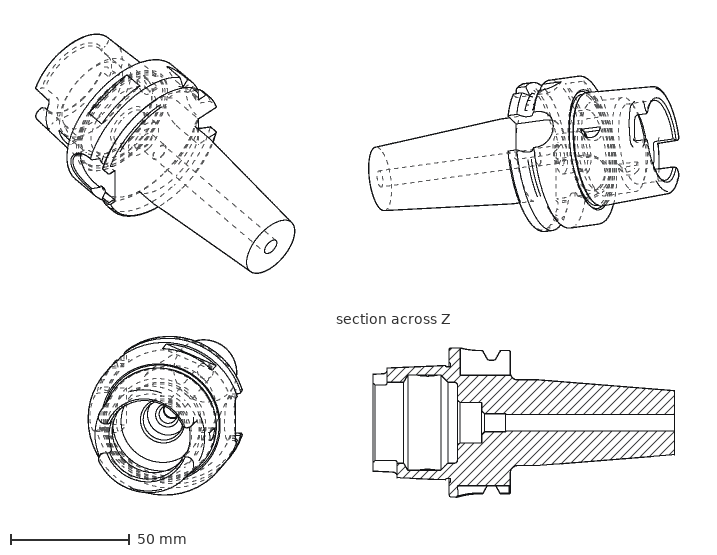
import cadquery as cq
import math


LENGTH = 127.0
FLANGE_START = 32.0
FLANGE_END = 57.9
NECK_END = 69.7

FLANGE_DIAMETER = 63.0
TAPER_MOUTH_DIAMETER = 45.6
TAPER_END_DIAMETER = 48.3
NECK_DIAMETER = 36.2
TIP_DIAMETER = 27.0

RELIEF_START = 30.5
RELIEF_DIAMETER = 47.2
RELIEF_FACE_DIAMETER = 51.0
RELIEF_FACE_DEPTH = 0.6

MOUTH_ROUND = 0.9
FLANGE_REAR_ROUND = 1.0
FLANGE_FRONT_ROUND = 0.8
NECK_ROUND = 2.9

GROOVE_CENTRE = 49.9
GROOVE_FLOOR_DIAMETER = 55.1
GROOVE_FLAT_WIDTH = 1.5
GROOVE_FLANK_ANGLE = 30.0
GROOVE_FLOOR_ROUND = 1.3
GROOVE_REAR_CHAMFER = 0.4

CAVITY_DIAMETER = 34.0
CAVITY_MOUTH_DIAMETER = 36.0
UNDERCUT_DIAMETER = 40.0
UNDERCUT_START = 13.0
UNDERCUT_END = 28.6
UNDERCUT_ANGLE = 60.0
CAVITY_DEPTH = 35.5
CAVITY_FLOOR_ROUND = 1.3

COUNTERBORE_MOUTH_DIAMETER = 19.0
COUNTERBORE_DIAMETER = 17.0
COUNTERBORE_DEPTH = 10.2
BORE_MOUTH_DIAMETER = 10.0
BORE_STEP_DIAMETER = 7.5
BORE_STEP_DEPTH = 10.2
BORE_DIAMETER = 6.9

KEY_WIDTH = 12.6
KEY_DEPTH_FRONT = 10.0
KEY_DEPTH_BACK = 5.8
KEY_LIP_ROUND = 3.0
KEY_CORNER_ROUND = 1.4

CROSS_HOLE_X = 23.0
CROSS_HOLE_DIAMETER = 8.4

SLOT_CENTRE_X = 44.8
FRONT_SLOT_RADIUS = 9.0
FRONT_SLOT_FLOOR = 26.5
FRONT_SLOT_CHAMFER = 0.6
BACK_SLOT_RADIUS = 8.0
BACK_SLOT_FLOOR = 20.1

NOTCH_SIDE = 20.0

CHIP_START = 35.2
CHIP_END = 43.4
CHIP_DISTANCE = 29.3
CHIP_TILT = 21.5

FLANGE_RADIUS = FLANGE_DIAMETER / 2

ROUND_GAP = 1 - math.sqrt(0.5)

OVERSHOOT = 1.3
PICK_MARGIN = 0.1


def turned(profile):
    """Revolve a closed profile, drawn as X against radius, about the X axis."""
    return profile.close().revolve(360, (0, 0, 0), (1, 0, 0))


def outer_body():
    neck_radius = NECK_DIAMETER / 2
    profile = (
        cq.Workplane("XY")
        .lineTo(0, TAPER_MOUTH_DIAMETER / 2)
        .lineTo(RELIEF_START, TAPER_END_DIAMETER / 2)
        .lineTo(RELIEF_START + (TAPER_END_DIAMETER - RELIEF_DIAMETER) / 2, RELIEF_DIAMETER / 2)
        .lineTo(FLANGE_START + RELIEF_FACE_DEPTH, RELIEF_DIAMETER / 2)
        .lineTo(FLANGE_START + RELIEF_FACE_DEPTH, RELIEF_FACE_DIAMETER / 2 - RELIEF_FACE_DEPTH)
        .lineTo(FLANGE_START, RELIEF_FACE_DIAMETER / 2)
        .lineTo(FLANGE_START, FLANGE_RADIUS - FLANGE_REAR_ROUND)
        .threePointArc(
            (
                FLANGE_START + FLANGE_REAR_ROUND * ROUND_GAP,
                FLANGE_RADIUS - FLANGE_REAR_ROUND * ROUND_GAP,
            ),
            (FLANGE_START + FLANGE_REAR_ROUND, FLANGE_RADIUS),
        )
        .lineTo(FLANGE_END - FLANGE_FRONT_ROUND, FLANGE_RADIUS)
        .threePointArc(
            (
                FLANGE_END - FLANGE_FRONT_ROUND * ROUND_GAP,
                FLANGE_RADIUS - FLANGE_FRONT_ROUND * ROUND_GAP,
            ),
            (FLANGE_END, FLANGE_RADIUS - FLANGE_FRONT_ROUND),
        )
        .lineTo(FLANGE_END, neck_radius + NECK_ROUND)
        .threePointArc(
            (FLANGE_END + NECK_ROUND * ROUND_GAP, neck_radius + NECK_ROUND * ROUND_GAP),
            (FLANGE_END + NECK_ROUND, neck_radius),
        )
        .lineTo(NECK_END, neck_radius)
        .lineTo(LENGTH, TIP_DIAMETER / 2)
        .lineTo(LENGTH, 0)
    )
    return turned(profile)


def v_groove():
    floor_radius = GROOVE_FLOOR_DIAMETER / 2
    slope = math.tan(math.radians(GROOVE_FLANK_ANGLE))
    turn = math.radians(90 - GROOVE_FLANK_ANGLE)
    half_flat = GROOVE_FLAT_WIDTH / 2

    def round_point(angle):
        """Offset from the groove centre, and radius, after turning this far up the floor round."""
        return (
            half_flat + GROOVE_FLOOR_ROUND * math.sin(angle),
            floor_radius + GROOVE_FLOOR_ROUND * (1 - math.cos(angle)),
        )

    middle = round_point(turn / 2)
    flank = round_point(turn)
    top_radius = FLANGE_RADIUS + OVERSHOOT
    chamfer_radius = FLANGE_RADIUS - GROOVE_REAR_CHAMFER

    def flank_offset(radius):
        return flank[0] + (radius - flank[1]) * slope

    rear_chamfer_x = GROOVE_CENTRE - flank_offset(chamfer_radius)
    profile = (
        cq.Workplane("XY")
        .moveTo(rear_chamfer_x - (top_radius - chamfer_radius), top_radius)
        .lineTo(rear_chamfer_x, chamfer_radius)
        .lineTo(GROOVE_CENTRE - flank[0], flank[1])
        .threePointArc(
            (GROOVE_CENTRE - middle[0], middle[1]), (GROOVE_CENTRE - half_flat, floor_radius)
        )
        .lineTo(GROOVE_CENTRE + half_flat, floor_radius)
        .threePointArc(
            (GROOVE_CENTRE + middle[0], middle[1]), (GROOVE_CENTRE + flank[0], flank[1])
        )
        .lineTo(GROOVE_CENTRE + flank_offset(top_radius), top_radius)
    )
    return turned(profile)


def cavity_and_bore():
    cavity_radius = CAVITY_DIAMETER / 2
    mouth_radius = CAVITY_MOUTH_DIAMETER / 2
    undercut_radius = UNDERCUT_DIAMETER / 2
    undercut_rise = undercut_radius - cavity_radius
    undercut_run = undercut_rise / math.tan(math.radians(UNDERCUT_ANGLE))
    counterbore_radius = COUNTERBORE_DIAMETER / 2
    counterbore_chamfer = COUNTERBORE_MOUTH_DIAMETER / 2 - counterbore_radius
    counterbore_floor = CAVITY_DEPTH + COUNTERBORE_DEPTH
    step_radius = BORE_STEP_DIAMETER / 2
    step_chamfer = BORE_MOUTH_DIAMETER / 2 - step_radius
    step_end = counterbore_floor + BORE_STEP_DEPTH
    corner_middle = CAVITY_FLOOR_ROUND * ROUND_GAP
    profile = (
        cq.Workplane("XY")
        .lineTo(0, mouth_radius)
        .lineTo(mouth_radius - cavity_radius, cavity_radius)
        .lineTo(UNDERCUT_START, cavity_radius)
        .lineTo(UNDERCUT_START + undercut_run, undercut_radius)
        .lineTo(UNDERCUT_END, undercut_radius)
        .lineTo(UNDERCUT_END + undercut_rise, cavity_radius)
        .lineTo(CAVITY_DEPTH - CAVITY_FLOOR_ROUND, cavity_radius)
        .threePointArc(
            (CAVITY_DEPTH - corner_middle, cavity_radius - corner_middle),
            (CAVITY_DEPTH, cavity_radius - CAVITY_FLOOR_ROUND),
        )
        .lineTo(CAVITY_DEPTH, counterbore_radius + counterbore_chamfer)
        .lineTo(CAVITY_DEPTH + counterbore_chamfer, counterbore_radius)
        .lineTo(counterbore_floor, counterbore_radius)
        .lineTo(counterbore_floor, step_radius + step_chamfer)
        .lineTo(counterbore_floor + step_chamfer, step_radius)
        .lineTo(step_end, step_radius)
        .lineTo(step_end, BORE_DIAMETER / 2)
        .lineTo(LENGTH, BORE_DIAMETER / 2)
        .lineTo(LENGTH, 0)
    )
    return turned(profile)


def mouth_rounding():
    """Ring that rounds the outer edge of the taper mouth when cut away."""
    mouth_radius = TAPER_MOUTH_DIAMETER / 2
    taper_slope = (TAPER_END_DIAMETER / 2 - mouth_radius) / RELIEF_START
    side_radius = mouth_radius + MOUTH_ROUND * taper_slope
    corner_middle = MOUTH_ROUND * ROUND_GAP
    profile = (
        cq.Workplane("XY")
        .moveTo(0, mouth_radius - MOUTH_ROUND)
        .threePointArc((corner_middle, mouth_radius - corner_middle), (MOUTH_ROUND, side_radius))
        .lineTo(MOUTH_ROUND, mouth_radius + OVERSHOOT)
        .lineTo(-OVERSHOOT, mouth_radius + OVERSHOOT)
        .lineTo(-OVERSHOOT, mouth_radius - MOUTH_ROUND)
    )
    return turned(profile)


def cut_key_slot(body, side, depth):
    """Cut the slot facing side * Y, round its lips into the taper, then round its inner corners."""
    inner_y = CAVITY_DIAMETER / 4
    outer_y = TAPER_END_DIAMETER / 2
    half_width = KEY_WIDTH / 2
    lip_y = math.sqrt((TAPER_MOUTH_DIAMETER / 2) ** 2 - (half_width + KEY_LIP_ROUND) ** 2)
    cutter = cq.Workplane("XY", origin=(0, side * (inner_y + outer_y) / 2, 0)).box(
        2 * depth, outer_y - inner_y, KEY_WIDTH
    )

    def edges_between(solid, x_range, y_range):
        """Edges centred inside these ranges, with the y range measured towards the slot."""
        near_y, far_y = sorted(side * y for y in y_range)
        return solid.edges(
            cq.selectors.BoxSelector((x_range[0], near_y, -outer_y), (x_range[1], far_y, outer_y))
        )

    slotted = body.cut(cutter)
    lips = edges_between(slotted, (PICK_MARGIN, depth - PICK_MARGIN), (lip_y, outer_y))
    slotted = lips.fillet(KEY_LIP_ROUND)
    corners = edges_between(slotted, (depth - PICK_MARGIN, depth + PICK_MARGIN), (inner_y + PICK_MARGIN, lip_y))
    return corners.fillet(KEY_CORNER_ROUND)


def rounded_end_slot(side, floor, centre_z, radius):
    """Cutter that runs out of the flange front, with a round end and a flat floor facing side * Y."""
    end = FLANGE_END + NECK_ROUND
    return (
        cq.Workplane("XZ", origin=(0, side * floor, 0))
        .moveTo(end, centre_z - radius)
        .lineTo(SLOT_CENTRE_X, centre_z - radius)
        .threePointArc((SLOT_CENTRE_X - radius, centre_z), (SLOT_CENTRE_X, centre_z + radius))
        .lineTo(end, centre_z + radius)
        .close()
        .extrude(-side * FLANGE_RADIUS)
    )


def cut_front_slot(body):
    """Cut the slot facing -Y and chamfer its rim where it breaks through the flange surface."""
    slotted = body.cut(rounded_end_slot(-1, FRONT_SLOT_FLOOR, 0, FRONT_SLOT_RADIUS))
    rim_y = math.sqrt(FLANGE_RADIUS**2 - FRONT_SLOT_RADIUS**2)
    rim_box = cq.selectors.BoxSelector(
        (FLANGE_START, -FLANGE_RADIUS, -FRONT_SLOT_RADIUS - PICK_MARGIN),
        (FLANGE_END, PICK_MARGIN - rim_y, FRONT_SLOT_RADIUS + PICK_MARGIN),
    )
    return slotted.edges(rim_box).chamfer(FRONT_SLOT_CHAMFER)


def chip_flat():
    """Cutter for the chip flat, tilted from +Z towards -Y."""
    cutter = cq.Workplane("XY").box(
        CHIP_END - CHIP_START, FLANGE_DIAMETER, FLANGE_RADIUS, centered=(False, True, False)
    )
    return cutter.translate((CHIP_START, 0, CHIP_DISTANCE)).rotate((0, 0, 0), (1, 0, 0), CHIP_TILT)


def cross_hole():
    """Half-round hole along Y, with its flat side on top, level with the axis."""
    radius = CROSS_HOLE_DIAMETER / 2
    return (
        cq.Workplane("XZ", origin=(CROSS_HOLE_X, 0, 0))
        .moveTo(-radius, 0)
        .threePointArc((0, -radius), (radius, 0))
        .close()
        .extrude(FLANGE_RADIUS, both=True)
    )


result = cut_key_slot(outer_body(), -1, KEY_DEPTH_FRONT)
result = cut_key_slot(result, 1, KEY_DEPTH_BACK)
result = result.cut(mouth_rounding())
result = cut_front_slot(result)
result = result.cut(rounded_end_slot(1, BACK_SLOT_FLOOR, 0, BACK_SLOT_RADIUS))
notch_centre_z = NOTCH_SIDE + BACK_SLOT_RADIUS
result = result.cut(rounded_end_slot(1, BACK_SLOT_FLOOR, notch_centre_z, BACK_SLOT_RADIUS))
result = result.cut(v_groove())
result = result.cut(cavity_and_bore())
result = result.cut(cross_hole())
result = result.cut(chip_flat())